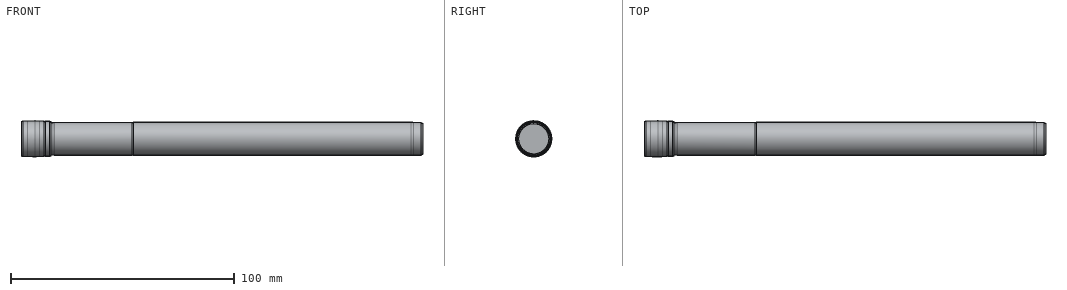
import cadquery as cq

TOTAL_LENGTH = 180.0
HEAD_DIAMETER = 16.2

HEAD_CHAMFER_LENGTH = 0.7
HEAD_FRONT_BAND_END = 2.9
HEAD_CREST = 6.1
HEAD_REAR_BAND_START = 8.3
HEAD_GROOVE_START = 10.0
HEAD_GROOVE_END = 10.8
HEAD_TAPER_START = 12.6
HEAD_END = 13.3
NECK_END = 14.2
NECK_TAPER_END = 15.0
JOINT = 50.2
TAIL_TAPER_START = 174.6
TAIL_TAPER_END = 175.7
TAIL_CHAMFER_LENGTH = 1.0

HEAD_FACE_DIAMETER = 15.3
HEAD_BAND_DIAMETER = 16.0
HEAD_GROOVE_DIAMETER = 15.3
HEAD_REAR_DIAMETER = 15.8
NECK_DIAMETER = 14.5
CAPSULE_DIAMETER = 14.8
BARREL_DIAMETER = 15.0
TAIL_DIAMETER = 14.8
TAIL_FACE_DIAMETER = 13.5
JOINT_GROOVE_DIAMETER = 14.5
JOINT_GROOVE_WIDTH = 0.5

RECESS_DIAMETER = 13.7
RECESS_DEPTH = 0.4
SLOT_COUNT = 32
SLOT_INNER_RADIUS = 1.8
SLOT_OUTER_RADIUS = 6.0
SLOT_WIDTH = 0.27
SLOT_DEPTH = 1.8


def revolve_about_x(stations):
    """Solid of revolution from (x, diameter) pairs listed from front to back."""
    outline = [(x, diameter / 2) for x, diameter in stations]
    first_x = stations[0][0]
    last_x = stations[-1][0]
    profile = cq.Workplane("XY").polyline([(first_x, 0), *outline, (last_x, 0)]).close()
    return profile.revolve(360, (0, 0, 0), (1, 0, 0))


def make_recess():
    """Shallow round recess of the front face."""
    return cq.Workplane("YZ").circle(RECESS_DIAMETER / 2).extrude(RECESS_DEPTH)


def make_slots():
    """Ring of radial slots sunk into the floor of the recess."""
    length = SLOT_OUTER_RADIUS - SLOT_INNER_RADIUS
    middle = (SLOT_OUTER_RADIUS + SLOT_INNER_RADIUS) / 2
    return (
        cq.Workplane("YZ", origin=(RECESS_DEPTH, 0, 0))
        .polarArray(middle, 0, 360, SLOT_COUNT)
        .rect(length, SLOT_WIDTH)
        .extrude(SLOT_DEPTH)
    )


def make_capsule():
    """Front body: banded head, neck and front tube, with a slotted inlet."""
    blank = revolve_about_x([
        (0, HEAD_FACE_DIAMETER),
        (HEAD_CHAMFER_LENGTH, HEAD_BAND_DIAMETER),
        (HEAD_FRONT_BAND_END, HEAD_BAND_DIAMETER),
        (HEAD_CREST, HEAD_DIAMETER),
        (HEAD_REAR_BAND_START, HEAD_BAND_DIAMETER),
        (HEAD_GROOVE_START, HEAD_BAND_DIAMETER),
        (HEAD_GROOVE_START, HEAD_GROOVE_DIAMETER),
        (HEAD_GROOVE_END, HEAD_GROOVE_DIAMETER),
        (HEAD_GROOVE_END, HEAD_REAR_DIAMETER),
        (HEAD_TAPER_START, HEAD_REAR_DIAMETER),
        (HEAD_END, HEAD_GROOVE_DIAMETER),
        (HEAD_END, NECK_DIAMETER),
        (NECK_END, NECK_DIAMETER),
        (NECK_TAPER_END, CAPSULE_DIAMETER),
        (JOINT - JOINT_GROOVE_WIDTH, CAPSULE_DIAMETER),
        (JOINT - JOINT_GROOVE_WIDTH, JOINT_GROOVE_DIAMETER),
        (JOINT, JOINT_GROOVE_DIAMETER),
    ])
    return blank.cut(make_recess()).cut(make_slots())


def make_barrel():
    """Rear body: long tube tapering slightly to a chamfered tail."""
    return revolve_about_x([
        (JOINT, BARREL_DIAMETER),
        (TAIL_TAPER_START, BARREL_DIAMETER),
        (TAIL_TAPER_END, TAIL_DIAMETER),
        (TOTAL_LENGTH - TAIL_CHAMFER_LENGTH, TAIL_DIAMETER),
        (TOTAL_LENGTH, TAIL_FACE_DIAMETER),
    ])


capsule = make_capsule()
barrel = make_barrel()

result = cq.Compound.makeCompound([capsule.val(), barrel.val()])